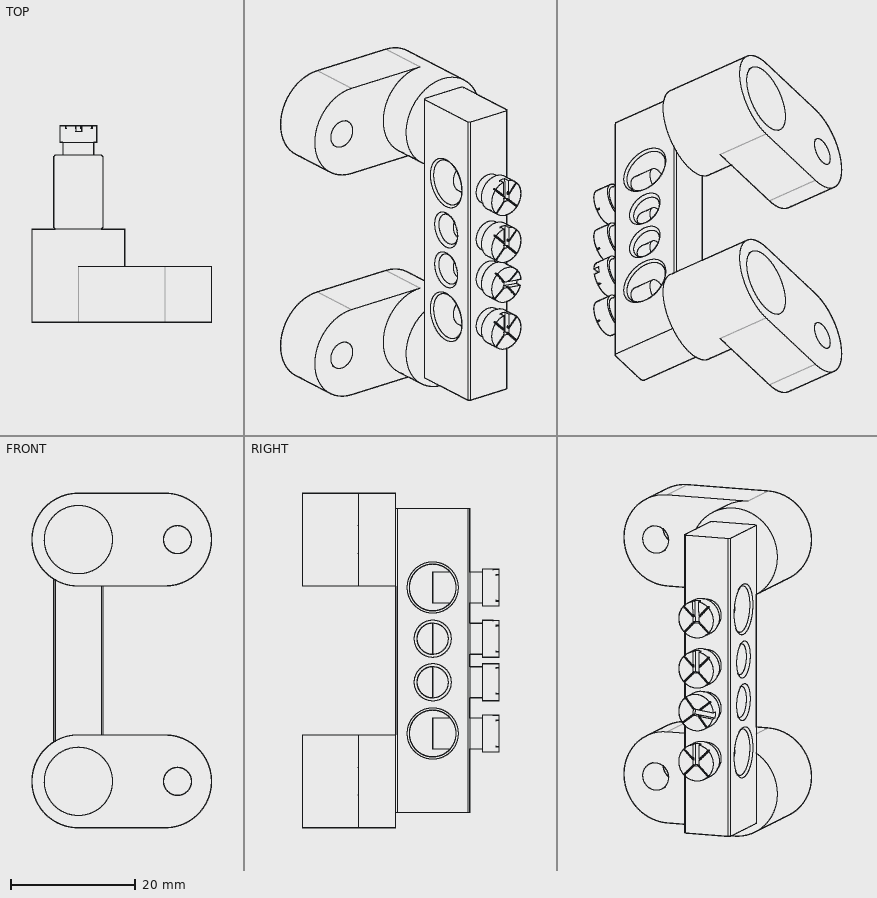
import cadquery as cq


bracket_spacing = 39.0
boss_diameter = 15.0
boss_length = 15.0
lug_thickness = 9.0
lug_straight = 14.0
bore_diameter = 11.0
bore_depth = lug_thickness
lug_hole_diameter = 4.5
lug_hole_offset = 16.0

bar_width = 8.0
bar_depth = 12.0
bar_length = 49.05
bar_edge_break = 0.3
bar_mid_depth = bar_depth / 2

small_hole_diameter = 5.0
small_hole_chamfer = 0.5
large_hole_diameter = 7.5
large_hole_chamfer = 0.4
inner_hole_z = 3.5
outer_hole_z = 11.75
cross_holes = [
    (outer_hole_z, large_hole_diameter, large_hole_chamfer),
    (inner_hole_z, small_hole_diameter, small_hole_chamfer),
    (-inner_hole_z, small_hole_diameter, small_hole_chamfer),
    (-outer_hole_z, large_hole_diameter, large_hole_chamfer),
]

head_diameter = 6.0
head_height = 2.7
head_gap = 2.0
shank_diameter = 5.0
slot_width = 1.0
slot_depth = 0.95
mark_width = 0.15
mark_depth = 0.5
mark_angles = (45, 135, 225, 315)
screws = [
    (outer_hole_z, -2),
    (inner_hole_z, 0),
    (-inner_hole_z, 97),
    (-outer_hole_z, 0),
]


def cylinder_y(diameter, length, start_y, z=0.0, x=0.0):
    """Cylinder that runs toward +Y from start_y."""
    axis_start = cq.Vector(x, start_y, z)
    return cq.Workplane(cq.Solid.makeCylinder(diameter / 2, length, axis_start, cq.Vector(0, 1, 0)))


def make_bracket(z):
    """Round boss standing on the bar, with a flat lug that reaches toward +X."""
    front_y = -boss_length
    boss = cylinder_y(boss_diameter, boss_length, front_y, z)
    lug_end = cylinder_y(boss_diameter, lug_thickness, front_y, z, lug_straight)
    lug_web = cq.Workplane().box(
        lug_straight, lug_thickness, boss_diameter, centered=(False, False, True)
    ).translate((0, front_y, z))
    bore = cylinder_y(bore_diameter, bore_depth, front_y, z)
    lug_hole = cylinder_y(lug_hole_diameter, lug_thickness, front_y, z, lug_hole_offset)
    return boss.union(lug_web).union(lug_end).cut(bore).cut(lug_hole)


def make_cross_hole(z, diameter, chamfer):
    """Cutter along X through the bar, flared by a chamfer at both side faces."""
    half_width = bar_width / 2
    radius = diameter / 2
    half_profile = [
        (-half_width, 0),
        (-half_width, radius + chamfer),
        (-half_width + chamfer, radius),
        (half_width - chamfer, radius),
        (half_width, radius + chamfer),
        (half_width, 0),
    ]
    cutter = cq.Workplane("XY").polyline(half_profile).close().revolve(360, (0, 0), (1, 0))
    return cutter.translate((0, bar_mid_depth, z))


def make_bar():
    """Bar with broken long edges, chamfered cross holes and a screw hole into each of them."""
    bar = cq.Workplane().box(bar_width, bar_depth, bar_length, centered=(True, False, True))
    bar = bar.edges("|Z").chamfer(bar_edge_break)
    for z, diameter, chamfer in cross_holes:
        bar = bar.cut(make_cross_hole(z, diameter, chamfer))
        bar = bar.cut(cylinder_y(shank_diameter, bar_depth - bar_mid_depth, bar_mid_depth, z))
    return bar


def make_groove(width, depth, inner_end, angle):
    """Cutter in the head top, from inner_end out past the +Z rim, then turned about the screw axis."""
    head_top = bar_depth + head_gap + head_height
    groove = cq.Workplane().box(width, depth, head_diameter, centered=(True, False, False))
    groove = groove.translate((0, head_top - depth, inner_end))
    return groove.rotate((0, 0, 0), (0, -1, 0), angle)


def make_screw(z, turn):
    """Cheese-head screw whose shank ends on the cross-hole axis."""
    head_bottom = bar_depth + head_gap
    shank = cylinder_y(shank_diameter, head_bottom - bar_mid_depth, bar_mid_depth)
    screw = cylinder_y(head_diameter, head_height, head_bottom).union(shank)
    screw = screw.cut(make_groove(slot_width, slot_depth, -slot_width / 2, turn))
    for angle in mark_angles:
        screw = screw.cut(make_groove(mark_width, mark_depth, 0, turn + angle))
    return screw.translate((0, 0, z))


bar = make_bar()
brackets = [make_bracket(side * bracket_spacing / 2) for side in (1, -1)]
screw_bodies = [make_screw(z, turn) for z, turn in screws]

bodies = [bar, *brackets, *screw_bodies]
result = cq.Compound.makeCompound([body.solids().val() for body in bodies])